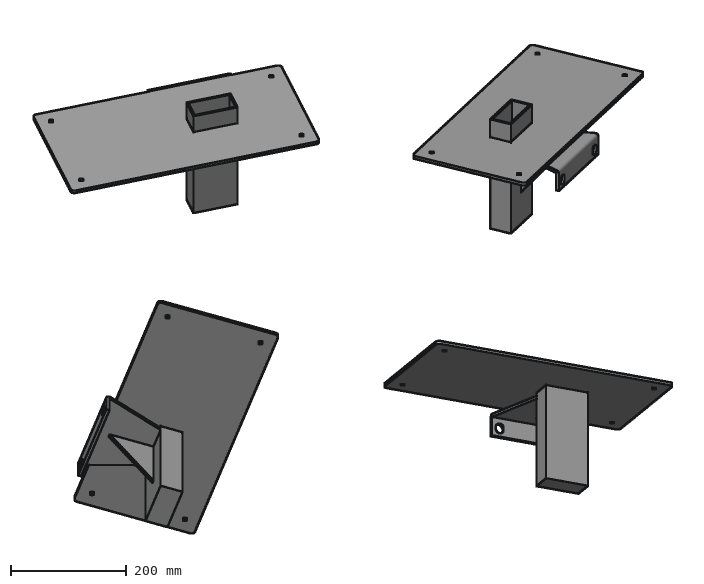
import cadquery as cq

plate_width = 220.0
plate_length = 450.0
plate_thickness = 6.0
plate_corner_radius = 6.5
plate_hole_diameter = 7.0
plate_hole_inset = 25.0

tube_width = 40.0
tube_depth = 2 * tube_width
tube_height = 215.0
tube_wall = 3.0
tube_y = 65.0
tube_above_plate = 35.0

overall_width = 241.0
bracket_thickness = 6.0
bracket_length_y = 150.0
bracket_drop = 40.0
bracket_gap = 5.5
slot_width = 15.0
slot_height = 18.0
slot_spacing = 120.0
slot_below_top = 24.8

gusset_thickness = 5.0
gusset_reach = 80.0
gusset_height = 100.0

plate_top = tube_height - tube_above_plate
plate_bottom = plate_top - plate_thickness
bracket_top = plate_bottom - bracket_gap
bracket_underside = bracket_top - bracket_thickness
bracket_outer_x = plate_width / 2 - overall_width
bracket_inner_x = bracket_outer_x + bracket_thickness
tube_face_x = -tube_width / 2


def make_plate():
    """Rounded plate with four corner holes and an opening that fits the tube."""
    hole_spacing_x = plate_width - 2 * plate_hole_inset
    hole_spacing_y = plate_length - 2 * plate_hole_inset
    blank = (
        cq.Workplane("XY", origin=(0, 0, plate_bottom))
        .rect(plate_width, plate_length)
        .extrude(plate_thickness)
        .edges("|Z")
        .fillet(plate_corner_radius)
    )
    drilled = (
        blank.faces(">Z")
        .workplane(origin=(0, 0, plate_top))
        .rect(hole_spacing_x, hole_spacing_y, forConstruction=True)
        .vertices()
        .hole(plate_hole_diameter)
    )
    opening = (
        cq.Workplane("XY", origin=(0, tube_y, plate_bottom))
        .rect(tube_width, tube_depth)
        .extrude(plate_thickness)
    )
    return drilled.cut(opening)


def make_tube():
    """Rectangular tube, open at the top and closed at the bottom."""
    outside = (
        cq.Workplane("XY", origin=(0, tube_y, 0))
        .rect(tube_width, tube_depth)
        .extrude(tube_height)
    )
    cavity = (
        cq.Workplane("XY", origin=(0, tube_y, tube_wall))
        .rect(tube_width - 2 * tube_wall, tube_depth - 2 * tube_wall)
        .extrude(tube_height - tube_wall)
    )
    return outside.cut(cavity)


def make_bracket_arm():
    """Horizontal arm that tapers from the bend to the width of the tube."""
    half_bend = bracket_length_y / 2
    half_tube = tube_depth / 2
    return (
        cq.Workplane("XY", origin=(0, tube_y, bracket_underside))
        .moveTo(bracket_outer_x, -half_bend)
        .lineTo(bracket_inner_x, -half_bend)
        .lineTo(tube_face_x, -half_tube)
        .lineTo(tube_face_x, half_tube)
        .lineTo(bracket_inner_x, half_bend)
        .lineTo(bracket_outer_x, half_bend)
        .close()
        .extrude(bracket_thickness)
    )


def make_bracket_flange():
    """Vertical flange hanging from the outer end of the arm."""
    flange = cq.Workplane("XY").box(
        bracket_thickness, bracket_length_y, bracket_drop, centered=(False, True, False)
    )
    return flange.translate((bracket_outer_x, tube_y, bracket_top - bracket_drop))


def make_gusset():
    """Triangular web between the arm and the tube."""
    return (
        cq.Workplane("XZ", origin=(0, tube_y, 0))
        .moveTo(tube_face_x, bracket_underside)
        .lineTo(tube_face_x - gusset_reach, bracket_underside)
        .lineTo(tube_face_x, bracket_underside - gusset_height)
        .close()
        .extrude(gusset_thickness / 2, both=True)
    )


def make_bracket():
    """Arm, flange and gusset in one piece, with a rounded bend and two upright slots."""
    bent = make_bracket_arm().union(make_bracket_flange())
    bent = bent.faces("<X").edges(">Z").fillet(bracket_thickness)
    slots = (
        cq.Workplane("YZ", origin=(bracket_outer_x, tube_y, bracket_top - slot_below_top))
        .pushPoints([(-slot_spacing / 2, 0), (slot_spacing / 2, 0)])
        .slot2D(slot_height, slot_width, 90)
        .extrude(bracket_thickness)
    )
    return bent.cut(slots).union(make_gusset())


plate = make_plate()
tube = make_tube()
bracket = make_bracket()

result = cq.Compound.makeCompound([plate.solids().val(), tube.solids().val(), bracket.solids().val()])